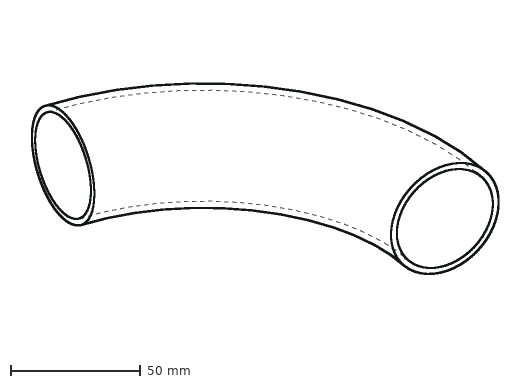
import cadquery as cq

overall_size = 132.2
outer_diameter = 48.2
wall_thickness = 2.6
bend_angle = 90.0

outer_radius = outer_diameter / 2
inner_radius = outer_radius - wall_thickness
bend_radius = overall_size - outer_radius

pipe_section = (
    cq.Workplane("XZ")
    .center(-bend_radius, 0)
    .circle(outer_radius)
    .circle(inner_radius)
)

result = pipe_section.revolve(
    bend_angle,
    axisStart=(bend_radius, 0, 0),
    axisEnd=(bend_radius, -1, 0),
)